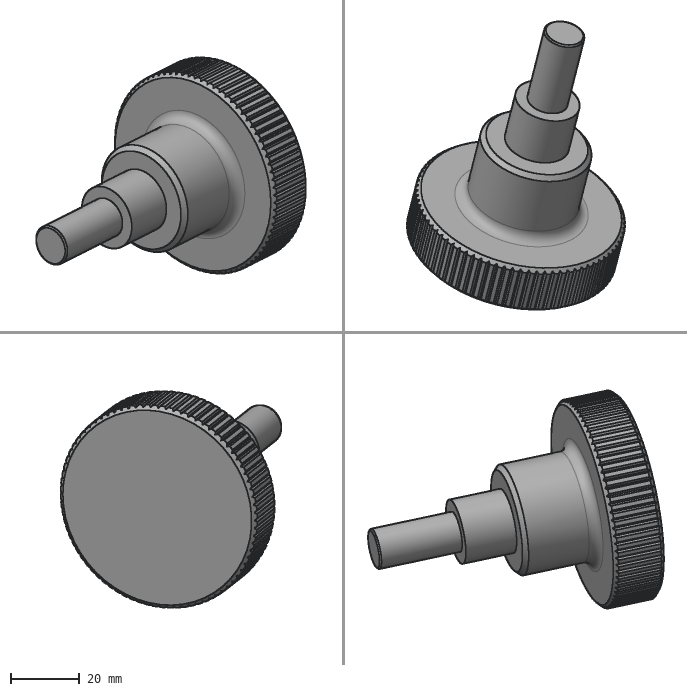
import cadquery as cq
import math

total_length = 79.0

head_diameter = 62.0
head_end = 15.5
head_chamfer = 1.3

hub_diameter = 33.0
hub_end = 38.5
hub_chamfer = 1.4
hub_fillet = 3.2

groove_count = 80
groove_depth = 0.55
groove_angle = 90.0

collar_diameter = 19.1
collar_end = 53.95

pin_diameter = 12.0
pin_chamfer = 0.5


def cylinder(diameter, start, end):
    """Cylinder on the part axis between two distances from the back face."""
    return cq.Workplane("XZ", origin=(0, -start, 0)).circle(diameter / 2).extrude(end - start)


def make_knob_blank():
    """Chamfered round head and filleted hub, revolved from one half outline."""
    head_radius = head_diameter / 2
    hub_radius = hub_diameter / 2
    fillet_inset = hub_fillet * (1 - math.sqrt(0.5))
    return (
        cq.Workplane("XY")
        .moveTo(0, 0)
        .lineTo(head_radius - head_chamfer, 0)
        .lineTo(head_radius, -head_chamfer)
        .lineTo(head_radius, -(head_end - head_chamfer))
        .lineTo(head_radius - head_chamfer, -head_end)
        .lineTo(hub_radius + hub_fillet, -head_end)
        .threePointArc(
            (hub_radius + fillet_inset, -(head_end + fillet_inset)),
            (hub_radius, -(head_end + hub_fillet)),
        )
        .lineTo(hub_radius, -(hub_end - hub_chamfer))
        .lineTo(hub_radius - hub_chamfer, -hub_end)
        .lineTo(0, -hub_end)
        .close()
        .revolve(360, (0, 0), (0, 1))
    )


def make_rim_grooves():
    """V-shaped cutters spaced evenly around the rim of the head, one of them on the X axis."""
    rim_radius = head_diameter / 2
    overshoot = groove_depth
    half_width = (groove_depth + overshoot) * math.tan(math.radians(groove_angle / 2))
    groove = (
        cq.Workplane("XZ")
        .moveTo(rim_radius - groove_depth, 0)
        .lineTo(rim_radius + overshoot, half_width)
        .lineTo(rim_radius + overshoot, -half_width)
        .close()
        .extrude(head_end)
        .val()
    )
    pitch_angle = 360 / groove_count
    axis_start = cq.Vector(0, 0, 0)
    axis_end = cq.Vector(0, 1, 0)
    return [groove.rotate(axis_start, axis_end, index * pitch_angle) for index in range(groove_count)]


def make_knob():
    """Knob with a grooved rim."""
    blank = make_knob_blank().val()
    return cq.Workplane(blank.cut(*make_rim_grooves())).solids()


def make_stud():
    """Collar seated flat against the hub, carrying a thinner pin with a chamfered tip."""
    collar = cylinder(collar_diameter, hub_end, collar_end)
    pin = cylinder(pin_diameter, collar_end, total_length).faces("<Y").edges().chamfer(pin_chamfer)
    return collar.union(pin)


knob = make_knob()
stud = make_stud()
result = cq.Compound.makeCompound([knob.val(), stud.val()])